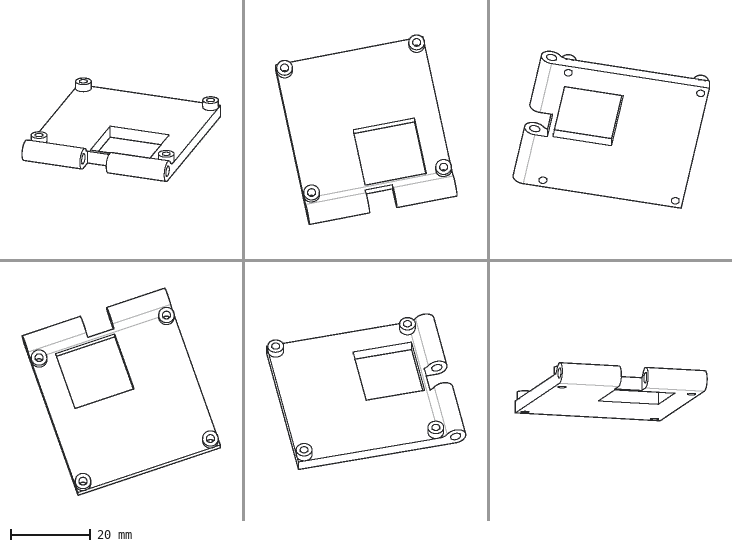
import cadquery as cq
import math

length = 43.3
width = 38.05
thickness = 3.1
rear_overhang = 0.1

barrel_radius = 2.65
pin_radius = 1.3
fillet_radius = 2.35
notch_width = 7.0
notch_back = 3.25

boss_spacing = 34.0
boss_radius = 2.0
boss_height = 2.0
boss_hole_radius = 1.0

window_width = 15.75
window_depth = 15.08
window_left = -3.2
window_front = 4.6

rear = length - barrel_radius
plate_rear = rear - rear_overhang
boss_center_y = rear - boss_radius - boss_spacing / 2

fillet_z = thickness + fillet_radius
center_distance = barrel_radius + fillet_radius
fillet_y = math.sqrt(center_distance**2 - (fillet_z - barrel_radius) ** 2)
touch_y = fillet_y * barrel_radius / center_distance
touch_z = barrel_radius + (fillet_z - barrel_radius) * barrel_radius / center_distance
touch_angle = math.atan2(touch_z - fillet_z, touch_y - fillet_y)
plate_angle = -math.pi / 2
middle_angle = (touch_angle + plate_angle) / 2
fillet_middle = (
    fillet_y + fillet_radius * math.cos(middle_angle),
    fillet_z + fillet_radius * math.sin(middle_angle),
)


def make_plate_with_barrel():
    """Side profile of plate, fillet and barrel, extruded across the width."""
    return (
        cq.Workplane("YZ", origin=(-width / 2, 0, 0))
        .moveTo(0, 0)
        .lineTo(plate_rear, 0)
        .lineTo(plate_rear, thickness)
        .lineTo(fillet_y, thickness)
        .threePointArc(fillet_middle, (touch_y, touch_z))
        .threePointArc((0, 2 * barrel_radius), (-barrel_radius, barrel_radius))
        .threePointArc(
            (-barrel_radius * math.sqrt(0.5), barrel_radius * (1 - math.sqrt(0.5))), (0, 0)
        )
        .close()
        .extrude(width)
    )


def boss_cylinders(radius, bottom, height):
    """One vertical cylinder at each of the four boss places."""
    return (
        cq.Workplane("XY", origin=(0, boss_center_y, bottom))
        .rarray(boss_spacing, boss_spacing, 2, 2)
        .circle(radius)
        .extrude(height)
    )


body = make_plate_with_barrel()
body = body.union(boss_cylinders(boss_radius, thickness, boss_height))

pin_hole = (
    cq.Workplane("YZ", origin=(-width / 2, 0, barrel_radius))
    .circle(pin_radius)
    .extrude(width)
)
notch = cq.Workplane("XY").box(
    notch_width, barrel_radius + notch_back, 2 * barrel_radius, centered=(True, False, False)
).translate((0, -barrel_radius, 0))
window = cq.Workplane("XY").box(
    window_width, window_depth, thickness, centered=False
).translate((window_left, window_front, 0))

screw_holes = boss_cylinders(boss_hole_radius, 0, thickness + boss_height)

result = body.cut(pin_hole).cut(notch).cut(window).cut(screw_holes)